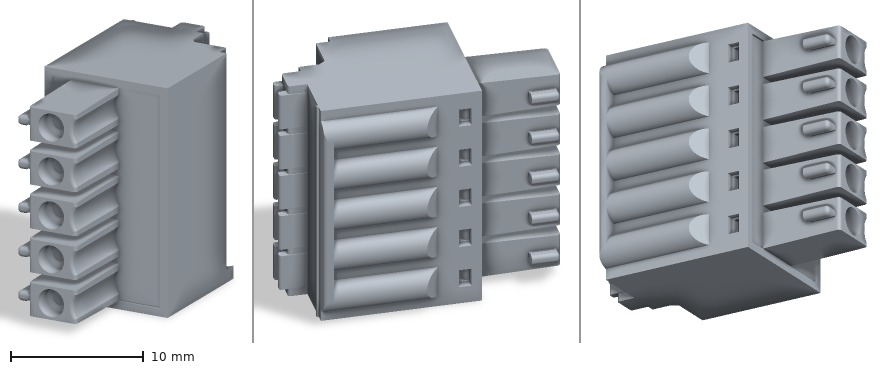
import cadquery as cq


POLES = 5
POLE_SPAN = 14.0
PITCH = POLE_SPAN / (POLES - 1)
POLE_HEIGHTS = [(i - (POLES - 1) / 2) * PITCH for i in range(POLES)]

HOUSING_WIDTH = 10.6
HOUSING_HEIGHT = 18.3
HOUSING_REAR = 12.52
SHOULDER_X = 6.83
SHOULDER_Y = 10.4
SHOULDER_BEVEL_X = 0.39
SHOULDER_BEVEL_Y = 0.51

BEAD_X = 0.62
BEAD_WIDTH = 0.25
BEAD_HEIGHT = 0.15

RIM = 0.65
RECESS_DEPTH = 0.09
GAP = 0.09
GAP_DEPTH = 0.21

RIB_RADIUS = 1.26
RIB_PROTRUSION = 1.11
RIB_FRONT = 3.42
RIB_END_ROUND = 0.28
BRIDGE_FRONT = 11.8

WINDOW_FRONT = 0.81
WINDOW_LENGTH = 0.96
WINDOW_HEIGHT = 1.48
WINDOW_DEPTH = 0.58
WINDOW_STEP = 0.13
WINDOW_REAR_LEDGE = 0.2
RAMP_LENGTH = 0.45

SLOT_DEPTH = 0.65
SLOT_LENGTH = 1.11
SLOT_END_RADIUS = 1.26

PLUG_X = 2.3
PLUG_WIDTH = 4.09
PLUG_LENGTH = 6.7
PLUG_ROOT_HEIGHT = 2.9
PLUG_TIP_HEIGHT = 2.65
PLUG_ROUND = 0.28
PLUG_LAND = 0.21
SCALLOP_DIAMETER = 3.08
SCALLOP_DEPTH = 0.32

HOLE_X = 4.24
MOUTH_DIAMETER = 2.23
THROAT_DIAMETER = 2.0
BOTTOM_DIAMETER = 1.2
MOUTH_DEPTH = 1.11
THROAT_DEPTH = 0.28

KEY_REACH = 1.18
KEY_NECK_REACH = 0.21
KEY_HEAD_START = 0.5
KEY_NECK_HEIGHT = 0.45
KEY_HEAD_HEIGHT = 0.8
KEY_ROUND = 0.32
KEY_ROOT = 0.1
KEY_FRONT = -6.38
KEY_LENGTH = 2.2

TAB_X = 4.09
TAB_WIDTH = 2.16
WALL_REAR = 14.02
TAB_REAR = 14.7
TAB_HEIGHT = 2.93
PRONG_WIDTH = 0.68
PRONG_TAPER = 0.06
PRONG_ROUND = 0.2
WALL_INSET = 0.06
WALL_ROUND = 0.2


def block(x, y, z):
    """Box between the given (start, end) pairs."""
    size = (x[1] - x[0], y[1] - y[0], z[1] - z[0])
    return cq.Workplane("XY").box(*size, centered=False).translate((x[0], y[0], z[0]))


def upright(outline, height, z=0):
    """Plan outline raised symmetrically about the height z."""
    return outline.extrude(height / 2, both=True).translate((0, 0, z))


def y_cylinder(x, z, radius, y_start, y_end):
    disc = cq.Workplane("XZ", origin=(0, y_end, 0)).center(x, z).circle(radius)
    return disc.extrude(y_end - y_start)


def housing():
    outline = (
        cq.Workplane("XY")
        .lineTo(HOUSING_WIDTH, 0)
        .lineTo(HOUSING_WIDTH, SHOULDER_Y)
        .lineTo(SHOULDER_X + SHOULDER_BEVEL_X, SHOULDER_Y)
        .lineTo(SHOULDER_X, SHOULDER_Y + SHOULDER_BEVEL_Y)
        .lineTo(SHOULDER_X, HOUSING_REAR)
        .lineTo(0, HOUSING_REAR)
        .close()
    )
    half = HOUSING_HEIGHT / 2
    bead = block(
        (BEAD_X, BEAD_X + BEAD_WIDTH),
        (HOUSING_REAR - BEAD_HEIGHT, HOUSING_REAR + BEAD_HEIGHT),
        (-half, half),
    )
    return upright(outline, HOUSING_HEIGHT).union(bead)


def recess():
    """Shallow recess whose floor is the insert, ringed by the deeper gap."""
    outer_half = HOUSING_HEIGHT / 2 - RIM
    opening = block((RIM, HOUSING_WIDTH - RIM), (0, GAP_DEPTH), (-outer_half, outer_half))
    insert_half = outer_half - GAP
    insert = block(
        (RIM + GAP, HOUSING_WIDTH - RIM), (RECESS_DEPTH, GAP_DEPTH), (-insert_half, insert_half)
    )
    return opening.cut(insert)


def ribs():
    """Round ribs with 45 degree front ends, joined by a plate at the rear."""
    axis_x = RIB_RADIUS - RIB_PROTRUSION
    top, bottom = POLE_HEIGHTS[-1], POLE_HEIGHTS[0]
    body = block((-RIB_PROTRUSION, axis_x), (BRIDGE_FRONT, HOUSING_REAR), (bottom, top))
    for z in POLE_HEIGHTS:
        rib = y_cylinder(axis_x, z, RIB_RADIUS, RIB_FRONT - RIB_RADIUS, HOUSING_REAR)
        body = body.union(rib)
    envelope = (
        cq.Workplane("XY")
        .moveTo(axis_x, RIB_FRONT - axis_x)
        .lineTo(-RIB_PROTRUSION, RIB_FRONT + RIB_PROTRUSION)
        .lineTo(-RIB_PROTRUSION, HOUSING_REAR - RIB_END_ROUND)
        .radiusArc((-RIB_PROTRUSION + RIB_END_ROUND, HOUSING_REAR), RIB_END_ROUND)
        .lineTo(axis_x, HOUSING_REAR)
        .close()
    )
    return body.intersect(upright(envelope, HOUSING_HEIGHT))


def window(z):
    """Rectangular window with a smaller pocket behind it that ramps deeper toward the rear."""
    rear = WINDOW_FRONT + WINDOW_LENGTH
    opening = block(
        (0, WINDOW_DEPTH), (WINDOW_FRONT, rear), (z - WINDOW_HEIGHT / 2, z + WINDOW_HEIGHT / 2)
    )
    inner_rear = rear - WINDOW_REAR_LEDGE
    ramp_start = inner_rear - RAMP_LENGTH
    floor_x = WINDOW_DEPTH + WINDOW_STEP
    pocket = (
        cq.Workplane("XY")
        .moveTo(0, WINDOW_FRONT)
        .lineTo(floor_x, WINDOW_FRONT)
        .lineTo(floor_x, ramp_start)
        .lineTo(floor_x + RAMP_LENGTH, inner_rear)
        .lineTo(0, inner_rear)
        .close()
    )
    return opening.union(upright(pocket, WINDOW_HEIGHT - 2 * WINDOW_STEP, z))


def corner_slot():
    inner_x = HOUSING_WIDTH - SLOT_DEPTH
    x_range = (inner_x, HOUSING_WIDTH)
    y_range = (SHOULDER_Y - SLOT_LENGTH, SHOULDER_Y)
    half = HOUSING_HEIGHT / 2
    lower_end = y_cylinder(inner_x, POLE_HEIGHTS[0], SLOT_END_RADIUS, *y_range)
    lower_end = lower_end.intersect(block(x_range, y_range, (-half, half)))
    return block(x_range, y_range, (POLE_HEIGHTS[0], half)).union(lower_end)


def plug(z):
    """Drafted plug with rounded tip edges and a scalloped +X side."""
    root = PLUG_ROOT_HEIGHT / 2
    tip = PLUG_TIP_HEIGHT / 2
    body = (
        cq.Workplane("YZ", origin=(PLUG_X, 0, z))
        .polyline(
            [(GAP_DEPTH, root), (0, root), (-PLUG_LENGTH, tip)]
            + [(-PLUG_LENGTH, -tip), (0, -root), (GAP_DEPTH, -root)]
        )
        .close()
        .extrude(PLUG_WIDTH)
    )
    scallop_x = PLUG_X + PLUG_WIDTH - SCALLOP_DEPTH + SCALLOP_DIAMETER / 2
    body = body.cut(y_cylinder(scallop_x, z, SCALLOP_DIAMETER / 2, -PLUG_LENGTH, RECESS_DEPTH))
    return body.faces("<Y").edges("not |X").fillet(PLUG_ROUND)


def plug_row():
    """All plugs, with the outermost faces kept straight next to the housing."""
    draft_slope = (PLUG_ROOT_HEIGHT - PLUG_TIP_HEIGHT) / 2 / PLUG_LENGTH
    row_half = POLE_HEIGHTS[-1] + PLUG_ROOT_HEIGHT / 2 - PLUG_LAND * draft_slope
    row = cq.Workplane("XY")
    for z in POLE_HEIGHTS:
        row = row.add(plug(z))
    limits = block(
        (PLUG_X, PLUG_X + PLUG_WIDTH), (-PLUG_LENGTH, GAP_DEPTH), (-row_half, row_half)
    )
    return limits.intersect(row.combine())


def contact_hole(z):
    throat_y = MOUTH_DEPTH - PLUG_LENGTH
    bottom_y = throat_y + THROAT_DEPTH
    section = (
        cq.Workplane("XY")
        .moveTo(0, -PLUG_LENGTH)
        .lineTo(MOUTH_DIAMETER / 2, -PLUG_LENGTH)
        .lineTo(THROAT_DIAMETER / 2, throat_y)
        .lineTo(BOTTOM_DIAMETER / 2, bottom_y)
        .lineTo(0, bottom_y)
        .close()
    )
    return section.revolve(360, (0, 0), (0, 1)).translate((HOLE_X, 0, z))


def coding_key(z):
    """Narrow neck widening to a head, rounded at its -X side and plug-tip end."""
    neck = KEY_NECK_HEIGHT / 2
    head = KEY_HEAD_HEIGHT / 2
    flank = [(KEY_ROOT, neck), (-KEY_NECK_REACH, neck), (-KEY_HEAD_START, head), (-KEY_REACH, head)]
    opposite = [(x, -height) for x, height in reversed(flank)]
    key = (
        cq.Workplane("XZ", origin=(0, KEY_LENGTH, 0))
        .polyline(flank + opposite)
        .close()
        .extrude(KEY_LENGTH)
    )
    envelope = block((-KEY_REACH, KEY_ROOT), (0, KEY_LENGTH), (-head, head))
    envelope = envelope.edges("(|Y and <X) or (<Y and (|X or <X))").fillet(KEY_ROUND)
    return key.intersect(envelope).translate((PLUG_X, KEY_FRONT, z))


def rear_wall():
    wall = block(
        (TAB_X + WALL_INSET, TAB_X + TAB_WIDTH - WALL_INSET),
        (HOUSING_REAR - WALL_ROUND, WALL_REAR),
        (-HOUSING_HEIGHT / 2, HOUSING_HEIGHT / 2),
    )
    return wall.edges("|Z and >Y").fillet(WALL_ROUND)


def forked_tab(z):
    """Pair of round-ended prongs standing on a common base."""
    prong_end = PRONG_WIDTH - PRONG_TAPER
    outline = (
        cq.Workplane("XY")
        .moveTo(0, HOUSING_REAR - WALL_ROUND)
        .lineTo(0, TAB_REAR)
        .lineTo(prong_end, TAB_REAR)
        .lineTo(PRONG_WIDTH, WALL_REAR)
        .lineTo(TAB_WIDTH - PRONG_WIDTH, WALL_REAR)
        .lineTo(TAB_WIDTH - prong_end, TAB_REAR)
        .lineTo(TAB_WIDTH, TAB_REAR)
        .lineTo(TAB_WIDTH, HOUSING_REAR - WALL_ROUND)
        .close()
    )
    tab = upright(outline, TAB_HEIGHT, z).translate((TAB_X, 0, 0))
    return tab.edges("|Z and >Y").fillet(PRONG_ROUND)


result = housing().cut(recess()).cut(corner_slot())
result = result.union(ribs()).union(rear_wall()).union(plug_row())
for pole_z in POLE_HEIGHTS:
    result = result.union(coding_key(pole_z)).union(forked_tab(pole_z))
    result = result.cut(window(pole_z)).cut(contact_hole(pole_z))